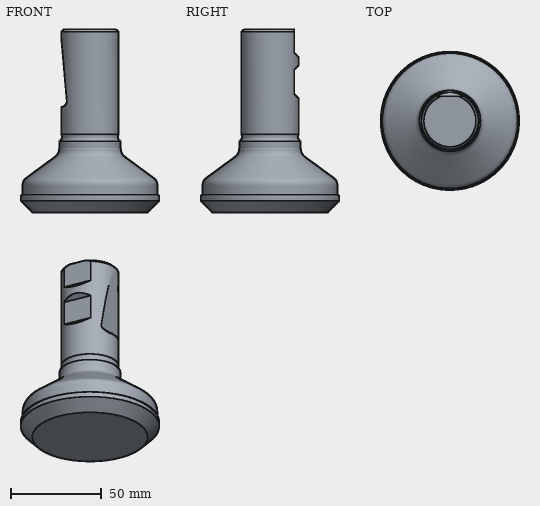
import cadquery as cq
import math

TOTAL_HEIGHT = 101.0
SHANK_RADIUS = 31.7 / 2
GROOVE_RADIUS = 31.1 / 2
COLLAR_RADIUS = 33.7 / 2
NECK_RADIUS = 34.2 / 2
BELL_RADIUS = 74.5 / 2
RIM_RADIUS = 76.4 / 2

FOOT_HEIGHT = 9.8
RIM_BOTTOM = 6.5
RIM_ROUND = 1.0

BELL_BLEND_BOTTOM = 14.9
NECK_BOTTOM = 34.8
BLEND_RADIUS = 5.0
BLEND_ANGLE = math.radians(54)

COLLAR_BOTTOM = 35.6
COLLAR_TOP = 39.2
COLLAR_CHAMFER = 0.7
GROOVE_BOTTOM = 41.2
GROOVE_TOP = 42.1
SHANK_BOTTOM = 43.1

END_CHAMFER_WIDTH = 1.5
END_CHAMFER_HEIGHT = 1.4

FLAT_Y = 13.4
FLAT_RUNOUT = SHANK_RADIUS - FLAT_Y
UPPER_FLAT_BOTTOM = 87.9
LOWER_FLAT_TOP = 78.6
LOWER_FLAT_BOTTOM = 65.2

TILT = math.radians(5)
TILTED_FLAT_TOP = 96.1
TILTED_FLAT_BOTTOM = 61.2
TILTED_FLAT_ROUND = 3.4

CUT_MARGIN = 3.0


def make_shank_and_bell():
    """Turned body: bell, neck, collar, relief groove and shank."""
    blend_width = BLEND_RADIUS * (1 - math.cos(BLEND_ANGLE))
    blend_height = BLEND_RADIUS * math.sin(BLEND_ANGLE)
    half_width = BLEND_RADIUS * (1 - math.cos(BLEND_ANGLE / 2))
    half_height = BLEND_RADIUS * math.sin(BLEND_ANGLE / 2)
    chamfer_top = (COLLAR_RADIUS - COLLAR_CHAMFER, COLLAR_TOP + COLLAR_CHAMFER)
    return (
        cq.Workplane("XZ")
        .moveTo(0, FOOT_HEIGHT)
        .lineTo(BELL_RADIUS, FOOT_HEIGHT)
        .lineTo(BELL_RADIUS, BELL_BLEND_BOTTOM)
        .threePointArc(
            (BELL_RADIUS - half_width, BELL_BLEND_BOTTOM + half_height),
            (BELL_RADIUS - blend_width, BELL_BLEND_BOTTOM + blend_height),
        )
        .lineTo(NECK_RADIUS + blend_width, NECK_BOTTOM - blend_height)
        .threePointArc(
            (NECK_RADIUS + half_width, NECK_BOTTOM - half_height),
            (NECK_RADIUS, NECK_BOTTOM),
        )
        .lineTo(COLLAR_RADIUS, COLLAR_BOTTOM)
        .lineTo(COLLAR_RADIUS, COLLAR_TOP)
        .lineTo(*chamfer_top)
        .tangentArcPoint((GROOVE_RADIUS, GROOVE_BOTTOM), relative=False)
        .lineTo(GROOVE_RADIUS, GROOVE_TOP)
        .tangentArcPoint((SHANK_RADIUS, SHANK_BOTTOM), relative=False)
        .lineTo(SHANK_RADIUS, TOTAL_HEIGHT - END_CHAMFER_HEIGHT)
        .lineTo(SHANK_RADIUS - END_CHAMFER_WIDTH, TOTAL_HEIGHT)
        .lineTo(0, TOTAL_HEIGHT)
        .close()
        .revolve(360, (0, 0), (0, 1))
    )


def make_flat_cutter(bottom, top, top_is_open):
    """Cutter for one +Y flat; its closed ends slope outward at 45 degrees."""
    outer_y = FLAT_Y + FLAT_RUNOUT + CUT_MARGIN
    end_slope = outer_y - FLAT_Y
    outer_top = top if top_is_open else top + end_slope
    return (
        cq.Workplane("YZ")
        .polyline([
            (FLAT_Y, bottom),
            (FLAT_Y, top),
            (outer_y, outer_top),
            (outer_y, bottom - end_slope),
        ])
        .close()
        .extrude(SHANK_RADIUS + CUT_MARGIN, both=True)
    )


def make_tilted_flat_cutter():
    """Cutter for the -X flat, deepest at its rounded lower end."""
    outer_x = -SHANK_RADIUS - CUT_MARGIN
    depth = (TILTED_FLAT_TOP - TILTED_FLAT_BOTTOM) * math.tan(TILT)
    flat_end_x = depth - SHANK_RADIUS
    round_x = flat_end_x - TILTED_FLAT_ROUND * math.cos(TILT)
    round_z = TILTED_FLAT_BOTTOM + TILTED_FLAT_ROUND * math.sin(TILT)
    mid_angle = (TILT + math.pi / 2) / 2
    return (
        cq.Workplane("XZ")
        .moveTo(outer_x, TILTED_FLAT_TOP)
        .lineTo(-SHANK_RADIUS, TILTED_FLAT_TOP)
        .lineTo(flat_end_x, TILTED_FLAT_BOTTOM)
        .threePointArc(
            (
                round_x + TILTED_FLAT_ROUND * math.cos(mid_angle),
                round_z - TILTED_FLAT_ROUND * math.sin(mid_angle),
            ),
            (round_x, round_z - TILTED_FLAT_ROUND),
        )
        .lineTo(outer_x, round_z - TILTED_FLAT_ROUND)
        .close()
        .extrude(SHANK_RADIUS + CUT_MARGIN, both=True)
    )


def make_foot():
    """Disc under the bell: rounded rim with a 45 degree underside."""
    inset_at_middle = RIM_ROUND * (1 - math.sqrt(0.5))
    return (
        cq.Workplane("XZ")
        .lineTo(RIM_RADIUS - RIM_BOTTOM, 0)
        .lineTo(RIM_RADIUS, RIM_BOTTOM)
        .lineTo(RIM_RADIUS, FOOT_HEIGHT - RIM_ROUND)
        .threePointArc(
            (RIM_RADIUS - inset_at_middle, FOOT_HEIGHT - inset_at_middle),
            (RIM_RADIUS - RIM_ROUND, FOOT_HEIGHT),
        )
        .lineTo(0, FOOT_HEIGHT)
        .close()
        .revolve(360, (0, 0), (0, 1))
    )


shank_and_bell = (
    make_shank_and_bell()
    .cut(make_flat_cutter(UPPER_FLAT_BOTTOM, TOTAL_HEIGHT, top_is_open=True))
    .cut(make_flat_cutter(LOWER_FLAT_BOTTOM, LOWER_FLAT_TOP, top_is_open=False))
    .cut(make_tilted_flat_cutter())
)
foot = make_foot()

result = cq.Compound.makeCompound([shank_and_bell.val(), foot.val()])